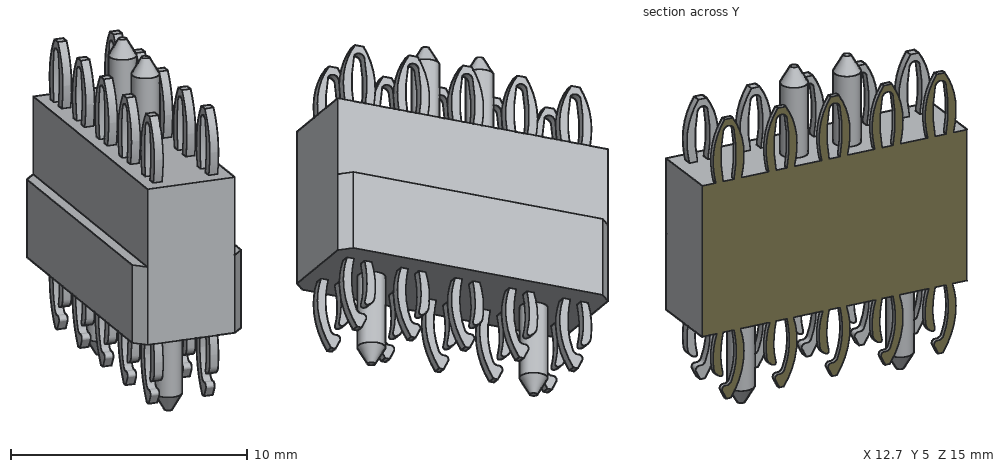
import cadquery as cq
import math

HOUSING_LENGTH = 12.7
HOUSING_WIDTH = 4.0
HOUSING_HEIGHT = 7.0
SKIRT_WIDTH = 5.0
SKIRT_HEIGHT = HOUSING_HEIGHT / 2
SKIRT_CHAMFER = (SKIRT_WIDTH - HOUSING_WIDTH) / 2

PITCH = 2.54
PIN_DIAMETER = 1.2
PIN_LENGTH = 4.0
PIN_TIP_LENGTH = 0.75
PIN_TIP_HALF_ANGLE = 30.0
TOP_PIN_OFFSET = PITCH / 2
BOTTOM_PIN_OFFSET = 1.5 * PITCH

CONTACT_COLUMNS = 5
ROW_SPACING = PITCH
CONTACT_THICKNESS = 0.4
CONTACT_HALF_WIDTH = 0.75
WIDEST_HEIGHT = 1.05
SLOT_BASE_HALF_WIDTH = 0.25

EYE_BASE_HALF_WIDTH = 0.63
EYE_TIP_HALF_WIDTH = 0.2
EYE_LENGTH = 2.85
EYE_SLOT_LENGTH = 2.5
EYE_SLOT_HALF_WIDTH = 0.35

SPLIT_BASE_HALF_WIDTH = 0.58
SPLIT_SLOT_HALF_WIDTH = 0.36
SPLIT_LENGTH = 3.1
HOOK_TIP_HALF_WIDTH = 0.11
HOOK_INNER_DEPTH = 2.46
HOOK_ROOT_START_X = -0.12
HOOK_ROOT_START_DEPTH = 2.32
HOOK_ROOT_END_X = 0.05
HOOK_ROOT_RADIUS = 0.25
HOOK_NOSE_X = 0.32
HOOK_NOSE_DEPTH = 2.68
HOOK_NOSE_RADIUS = 0.17
SHORT_ARM_LENGTH = 2.0
SHORT_ARM_INNER_X = 0.26
SHORT_ARM_INNER_DEPTH = 1.87
SHORT_ARM_TIP_X = 0.4
SHORT_ARM_SHOULDER_X = 0.72
SHORT_ARM_SHOULDER_DEPTH = 1.6


def bow_midpoint(widest, end):
    """Point midway along the arc that leaves `widest` parallel to Z and reaches `end`."""
    dx = end[0] - widest[0]
    dz = end[1] - widest[1]
    radius = (dx**2 + dz**2) / (2 * abs(dx))
    sag = radius - math.sqrt(radius**2 - (dz / 2) ** 2)
    return (widest[0] + math.copysign(sag, dx), widest[1] + dz / 2)


def bow_out(profile, base, widest):
    """Add the arc from `base` to the widest point of a contact."""
    return profile.threePointArc(bow_midpoint(widest, base), widest)


def bow_in(profile, widest, end):
    """Add the arc from the widest point of a contact to `end`."""
    return profile.threePointArc(bow_midpoint(widest, end), end)


def extrude_contact(profile):
    return profile.close().extrude(CONTACT_THICKNESS / 2, both=True)


def make_housing():
    block = cq.Workplane("XY").box(HOUSING_LENGTH, HOUSING_WIDTH, HOUSING_HEIGHT, centered=(True, True, False))
    skirt = (
        cq.Workplane("XY")
        .box(HOUSING_LENGTH, SKIRT_WIDTH, SKIRT_HEIGHT, centered=(True, True, False))
        .edges("|Z")
        .chamfer(SKIRT_CHAMFER)
    )
    return block.union(skirt)


def make_pin():
    """Upright guide pin standing on Z = 0, with a conical tip."""
    radius = PIN_DIAMETER / 2
    tip_radius = radius - PIN_TIP_LENGTH * math.tan(math.radians(PIN_TIP_HALF_ANGLE))
    return (
        cq.Workplane("XZ")
        .moveTo(0, 0)
        .lineTo(radius, 0)
        .lineTo(radius, PIN_LENGTH - PIN_TIP_LENGTH)
        .lineTo(tip_radius, PIN_LENGTH)
        .lineTo(0, PIN_LENGTH)
        .close()
        .revolve(360, (0, 0), (0, 1))
    )


def make_eye_contact():
    """Upright needle-eye contact standing on Z = 0."""
    outer = cq.Workplane("XZ").moveTo(EYE_BASE_HALF_WIDTH, 0)
    outer = bow_out(outer, (EYE_BASE_HALF_WIDTH, 0), (CONTACT_HALF_WIDTH, WIDEST_HEIGHT))
    outer = bow_in(outer, (CONTACT_HALF_WIDTH, WIDEST_HEIGHT), (EYE_TIP_HALF_WIDTH, EYE_LENGTH))
    outer = outer.lineTo(-EYE_TIP_HALF_WIDTH, EYE_LENGTH)
    left_tip = (-EYE_TIP_HALF_WIDTH, EYE_LENGTH)
    left_widest = (-CONTACT_HALF_WIDTH, WIDEST_HEIGHT)
    left_base = (-EYE_BASE_HALF_WIDTH, 0)
    outer = bow_out(outer, left_tip, left_widest)
    outer = bow_in(outer, left_widest, left_base)

    arch_height = EYE_SLOT_LENGTH - SLOT_BASE_HALF_WIDTH
    slot = (
        cq.Workplane("XZ")
        .moveTo(SLOT_BASE_HALF_WIDTH, 0)
        .threePointArc((EYE_SLOT_HALF_WIDTH, arch_height / 2), (SLOT_BASE_HALF_WIDTH, arch_height))
        .threePointArc((0, EYE_SLOT_LENGTH), (-SLOT_BASE_HALF_WIDTH, arch_height))
        .threePointArc((-EYE_SLOT_HALF_WIDTH, arch_height / 2), (-SLOT_BASE_HALF_WIDTH, 0))
    )
    return extrude_contact(outer).cut(extrude_contact(slot))


def make_hooked_arm():
    """Long arm hanging below Z = 0, bowed to -X and ending in a rounded hook."""
    base = (-SPLIT_BASE_HALF_WIDTH, 0)
    widest = (-CONTACT_HALF_WIDTH, -WIDEST_HEIGHT)
    tip = (-HOOK_TIP_HALF_WIDTH, -SPLIT_LENGTH)
    slot_base = (-SLOT_BASE_HALF_WIDTH, 0)
    slot_widest = (-SPLIT_SLOT_HALF_WIDTH, -WIDEST_HEIGHT)
    root_start = (HOOK_ROOT_START_X, -HOOK_ROOT_START_DEPTH)
    root_end = (HOOK_ROOT_END_X, -HOOK_INNER_DEPTH)
    nose_start_x = HOOK_NOSE_X - HOOK_NOSE_RADIUS

    arm = cq.Workplane("XZ").moveTo(*base)
    arm = bow_out(arm, base, widest)
    arm = bow_in(arm, widest, tip)
    arm = arm.lineTo(HOOK_TIP_HALF_WIDTH, -SPLIT_LENGTH)
    arm = arm.lineTo(HOOK_NOSE_X, -HOOK_NOSE_DEPTH)
    arm = arm.radiusArc((nose_start_x, -HOOK_INNER_DEPTH), -HOOK_NOSE_RADIUS)
    arm = arm.lineTo(*root_end)
    arm = arm.radiusArc(root_start, HOOK_ROOT_RADIUS)
    arm = bow_out(arm, root_start, slot_widest)
    arm = bow_in(arm, slot_widest, slot_base)
    return extrude_contact(arm)


def make_short_arm():
    """Short arm hanging below Z = 0, bowed to +X with a rounded end."""
    base = (SPLIT_BASE_HALF_WIDTH, 0)
    widest = (CONTACT_HALF_WIDTH, -WIDEST_HEIGHT)
    shoulder = (SHORT_ARM_SHOULDER_X, -SHORT_ARM_SHOULDER_DEPTH)
    tip = (SHORT_ARM_TIP_X, -SHORT_ARM_LENGTH)
    inner_end = (SHORT_ARM_INNER_X, -SHORT_ARM_INNER_DEPTH)
    slot_widest = (SPLIT_SLOT_HALF_WIDTH, -WIDEST_HEIGHT)
    slot_base = (SLOT_BASE_HALF_WIDTH, 0)

    arm = cq.Workplane("XZ").moveTo(*base)
    arm = bow_out(arm, base, widest)
    arm = bow_in(arm, widest, shoulder)
    arm = arm.tangentArcPoint(tip, relative=False)
    arm = arm.tangentArcPoint(inner_end, relative=False)
    arm = bow_out(arm, inner_end, slot_widest)
    arm = bow_in(arm, slot_widest, slot_base)
    return extrude_contact(arm)


def add_pins(body):
    pin = make_pin()
    hanging_pin = pin.mirror("XY")
    for side in (-1, 1):
        body = body.union(pin.translate((side * TOP_PIN_OFFSET, 0, HOUSING_HEIGHT)))
        body = body.union(hanging_pin.translate((side * BOTTOM_PIN_OFFSET, 0, 0)))
    return body


def add_contacts(body):
    eye = make_eye_contact().translate((0, 0, HOUSING_HEIGHT))
    lower_arms = (make_hooked_arm(), make_short_arm())
    first_x = -PITCH * (CONTACT_COLUMNS - 1) / 2
    for column in range(CONTACT_COLUMNS):
        for row in (-1, 1):
            place = (first_x + column * PITCH, row * ROW_SPACING / 2, 0)
            body = body.union(eye.translate(place))
            for arm in lower_arms:
                body = body.union(arm.translate(place))
    return body


result = add_contacts(add_pins(make_housing()))